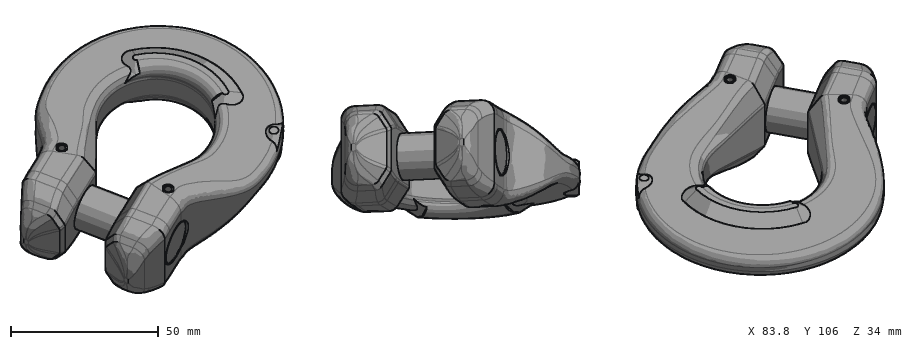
import cadquery as cq
import math

EYE_THICKNESS = 34.0
EYE_HALF_THICKNESS = EYE_THICKNESS / 2
EYE_ROUND_Y = -5.1
TIP_END_Y = -22.0
EYE_OUTER_X = 26.8
EYE_INNER_X = 7.5

TAPER_START_Y = -8.6
TAPER_ANGLE = 23.3
LOWER_CORNER_TOP_Y = -15.0
LOWER_CORNER = (8.6, -17.0)
LOWER_SIDE_ANGLE = 61.0
TIP_CENTER = (18.9, -19.0)
TIP_RADIUS = 3.2
SECTIONS_PER_STRETCH = 6

BOW_WIDTH = 83.8
CROWN_Y = 84.0
BOW_OUTER_R = BOW_WIDTH / 2
BOW_OUTER_Y = CROWN_Y - BOW_OUTER_R
BOW_INNER_R = 20.0
BOW_INNER_Y = 39.0
LEG_ANGLE = 26.0
FLANK_ANGLE = 36.0
FLANK_END_X = 29.2
BOW_STATION_ANGLES = (90, 75, 60, 45, 30, 15, 0, -13, -LEG_ANGLE)

CONE_TOP = 14.7
CONE_SLOPE = 0.24
CONE_BLUNTNESS = 10.6
SWELL_START_Y = 35.5
SWELL_END_Y = 6.8

BEVEL_START_SHARE = 0.54
BEVEL_ANGLE = 33.0
BEVEL_FOOT_R = 2.1
BEVEL_TOP_R = 3.0
OUTER_EDGE_R = 3.1
OUTER_EDGE_R_GROWTH = 0.11
FULL_ROUNDING_HEIGHT = 8.9

PAD_Z = 10.1
PAD_WALL_R = 20.2
PAD_PLATEAU_INNER_R = 24.5
PAD_PLATEAU_OUTER_R = 26.7
PAD_FOOT_R = 31.6
PAD_FOOT_Z = 6.8
PAD_HALF_ANGLE = 41.0
PAD_SECTOR_LENGTH = 47.7

LUG_X = 37.4
LUG_Y = 53.5
LUG_Z = 6.1
LUG_FLOOR_Z = 2.1
LUG_TOP_R = 1.6
LUG_RIM_INSET = 0.3
LUG_SLOPE = 1.5

PIN_D = 16.0
PIN_LENGTH = 2 * EYE_OUTER_X
PIN_CHAMFER = 0.4
EYE_CLEARING_LENGTH = 63.6
RETAINER_X = 20.0
RETAINER_Y = 7.8
RETAINER_D = 3.8
RETAINER_BORE_D = 2.5
RETAINER_LENGTH = 32.9

LEG_TAN = math.tan(math.radians(LEG_ANGLE))
FLANK = math.radians(FLANK_ANGLE)
TAPER_TAN = math.tan(math.radians(TAPER_ANGLE))
LOWER_SIDE_TAN = math.tan(math.radians(LOWER_SIDE_ANGLE))
BEVEL_TAN = math.tan(math.radians(BEVEL_ANGLE))


def circle_point(center_y, radius, degrees):
    angle = math.radians(degrees)
    return cq.Vector(radius * math.cos(angle), center_y + radius * math.sin(angle), 0)


def surface_height(point):
    """Half thickness of the bow and legs, before the edges are rounded."""
    radius = math.hypot(point.x, point.y - BOW_INNER_Y)
    cone = CONE_TOP - CONE_SLOPE * math.hypot(radius, CONE_BLUNTNESS)
    share = (SWELL_START_Y - point.y) / (SWELL_START_Y - SWELL_END_Y)
    share = min(max(share, 0), 1)
    swell = (1 - math.cos(math.pi * share)) / 2
    return cone + (EYE_HALF_THICKNESS - cone) * swell


def corner_arc(before, corner, after, radius):
    """Start, middle and end of the arc that rounds a corner."""
    to_before = (before - corner).normalized()
    to_after = (after - corner).normalized()
    half_angle = to_before.getAngle(to_after) / 2
    setback = radius / math.tan(half_angle)
    bisector = (to_before + to_after).normalized()
    middle = corner + bisector * (radius / math.sin(half_angle) - radius)
    return corner + to_before * setback, middle, corner + to_after * setback


def below(point):
    """Mirror image of a point across the XY plane."""
    return cq.Vector(point.x, point.y, -point.z)


def across(point):
    """Mirror image of a point across the YZ plane."""
    return cq.Vector(-point.x, point.y, point.z)


def section(inner, outer, height_at):
    """Closed cross section between an inner and an outer point of the outline."""
    up = cq.Vector(0, 0, 1)
    outward = (outer - inner).normalized()
    inner_height = height_at(inner)
    foot_height = BEVEL_START_SHARE * inner_height
    bevel_top = inner + outward * ((inner_height - foot_height) * BEVEL_TAN)
    outer_height = height_at(outer)
    corners = [
        inner + up * foot_height,
        bevel_top + up * height_at(bevel_top),
        outer + up * outer_height,
    ]
    size = min(1, inner_height / FULL_ROUNDING_HEIGHT)
    outer_r = OUTER_EDGE_R + OUTER_EDGE_R_GROWTH * outer_height
    radii = [size * radius for radius in (BEVEL_FOOT_R, BEVEL_TOP_R, outer_r)]
    chain = [inner, *corners, outer]
    arcs = [corner_arc(*chain[i:i + 3], radii[i]) for i in range(3)]
    arcs += [tuple(below(point) for point in reversed(arc)) for arc in reversed(arcs)]
    edges = []
    for arc, following in zip(arcs, arcs[1:] + arcs[:1]):
        edges.append(cq.Edge.makeThreePointArc(*arc))
        edges.append(cq.Edge.makeLine(arc[2], following[0]))
    return cq.Wire.assembleEdges(edges)


def bow_stations():
    """Pairs of inner and outer outline points, from the crown down to the right eye."""
    pairs = []
    for degrees in BOW_STATION_ANGLES:
        pairs.append((
            circle_point(BOW_INNER_Y, BOW_INNER_R, degrees),
            circle_point(BOW_OUTER_Y, BOW_OUTER_R, degrees),
        ))
    leg_top = pairs[-1][0]
    leg_end = cq.Vector(EYE_INNER_X, leg_top.y - (leg_top.x - EYE_INNER_X) / LEG_TAN, 0)
    flank_top = circle_point(BOW_OUTER_Y, BOW_OUTER_R, -FLANK_ANGLE)
    flank_end_y = flank_top.y - (flank_top.x - FLANK_END_X) / math.tan(FLANK)
    flank_end = cq.Vector(FLANK_END_X, flank_end_y, 0)
    blend_r = (FLANK_END_X - EYE_OUTER_X) / (1 - math.cos(FLANK))
    blend_y = flank_end_y - blend_r * math.sin(FLANK)
    blend_mid = cq.Vector(
        EYE_OUTER_X + blend_r * (1 - math.cos(FLANK / 2)),
        blend_y + blend_r * math.sin(FLANK / 2),
        0,
    )
    flank_points = [
        flank_top,
        (flank_top + flank_end) * 0.5,
        flank_end,
        blend_mid,
        cq.Vector(EYE_OUTER_X, blend_y, 0),
    ]
    for i, outer in enumerate(flank_points, start=1):
        share = i / len(flank_points)
        pairs.append((leg_top + (leg_end - leg_top) * share, outer))
    return pairs


def make_bow():
    """Bow and both legs as one loft, from the left eye around the crown to the right eye."""
    right = bow_stations()
    left = [(across(inner), across(outer)) for inner, outer in reversed(right[1:])]
    wires = [section(inner, outer, surface_height) for inner, outer in left + right]
    return cq.Solid.makeLoft(wires)


def tip_half_width(y):
    """Half width of the tip circle."""
    return math.sqrt(TIP_RADIUS ** 2 - (TIP_CENTER[1] - y) ** 2)


def eye_inner_x(y):
    """Inner side of the right eye; its slanted lower side runs tangent into the tip circle."""
    if y >= LOWER_CORNER_TOP_Y:
        return EYE_INNER_X
    if y >= LOWER_CORNER[1]:
        share = (LOWER_CORNER_TOP_Y - y) / (LOWER_CORNER_TOP_Y - LOWER_CORNER[1])
        return EYE_INNER_X + share * (LOWER_CORNER[0] - EYE_INNER_X)
    tangent_y = TIP_CENTER[1] - TIP_RADIUS * math.sin(math.radians(LOWER_SIDE_ANGLE))
    if y >= tangent_y:
        return LOWER_CORNER[0] + LOWER_SIDE_TAN * (LOWER_CORNER[1] - y)
    return TIP_CENTER[0] - tip_half_width(y)


def eye_outer_x(y):
    """Outer side of the right eye; its taper runs tangent into the tip circle."""
    tangent_y = TIP_CENTER[1] - TIP_RADIUS * math.sin(math.radians(TAPER_ANGLE))
    if y >= tangent_y:
        return EYE_OUTER_X - TAPER_TAN * max(0, TAPER_START_Y - y)
    return TIP_CENTER[0] + tip_half_width(y)


def round_end_angle(y):
    """Angle around the round end of the eyes at which it reaches y."""
    return math.asin((EYE_ROUND_Y - y) / EYE_HALF_THICKNESS)


def eye_section(angle):
    """Section of the right eye at an angle around its round end, zero where the round begins."""
    y = EYE_ROUND_Y - EYE_HALF_THICKNESS * math.sin(angle)
    half_thickness = EYE_HALF_THICKNESS * math.cos(angle)
    inner = cq.Vector(eye_inner_x(y), y, 0)
    outer = cq.Vector(eye_outer_x(y), y, 0)
    return section(inner, outer, lambda point: half_thickness)


def make_eye():
    """Right eye, from the end of the bow to the tip, lofted between the corners of its outline."""
    bow_end = section(*bow_stations()[-1], surface_height)
    eye = cq.Workplane(obj=cq.Solid.makeLoft([bow_end, eye_section(0)], True))
    corners = (EYE_ROUND_Y, TAPER_START_Y, LOWER_CORNER_TOP_Y, LOWER_CORNER[1], TIP_END_Y)
    angles = [round_end_angle(y) for y in corners]
    for start, end in zip(angles, angles[1:]):
        step = (end - start) / (SECTIONS_PER_STRETCH - 1)
        wires = [eye_section(start + i * step) for i in range(SECTIONS_PER_STRETCH)]
        eye = eye.union(cq.Workplane(obj=cq.Solid.makeLoft(wires)))
    return eye


def make_crown_pad():
    """Raised wear pad on both faces of the crown, sloping off outward and at its ends."""
    round_r = PAD_PLATEAU_INNER_R - PAD_WALL_R
    round_offset = round_r * (1 - math.sqrt(0.5))
    ring = (
        cq.Workplane("XZ")
        .moveTo(PAD_WALL_R, 0)
        .lineTo(PAD_WALL_R, PAD_Z - round_r)
        .threePointArc(
            (PAD_WALL_R + round_offset, PAD_Z - round_offset),
            (PAD_PLATEAU_INNER_R, PAD_Z),
        )
        .lineTo(PAD_PLATEAU_OUTER_R, PAD_Z)
        .lineTo(PAD_FOOT_R, PAD_FOOT_Z)
        .lineTo(PAD_FOOT_R, 0)
        .close()
        .revolve(360, (0, 0, 0), (0, 1, 0))
    )
    half_angle = math.radians(PAD_HALF_ANGLE)
    sector_x = PAD_SECTOR_LENGTH * math.sin(half_angle)
    sector_y = PAD_SECTOR_LENGTH * math.cos(half_angle)
    extent = (
        cq.Workplane("XY")
        .polyline([(0, 0), (sector_x, sector_y), (-sector_x, sector_y)])
        .close()
        .extrude(PAD_Z)
    )
    end_top_r = (PAD_PLATEAU_OUTER_R - PAD_PLATEAU_INNER_R) / 2
    end_slope = (PAD_FOOT_R - PAD_PLATEAU_OUTER_R) / (PAD_Z - PAD_FOOT_Z)
    end_center_r = PAD_PLATEAU_INNER_R + end_top_r
    for side in (-1, 1):
        center = cq.Vector(
            side * end_center_r * math.sin(half_angle),
            end_center_r * math.cos(half_angle),
            0,
        )
        end_cone = cq.Solid.makeCone(end_top_r + end_slope * PAD_Z, end_top_r, PAD_Z, pnt=center)
        extent = extent.union(cq.Workplane(obj=end_cone))
    pad = ring.intersect(extent).translate((0, BOW_INNER_Y, 0))
    return pad.union(pad.mirror("XY"))


def make_rim_lug():
    """Low conical lug on both faces of the bow, cut off just inside the rim."""
    base_r = LUG_TOP_R + LUG_SLOPE * LUG_Z
    cone = cq.Solid.makeCone(base_r, LUG_TOP_R, LUG_Z, pnt=cq.Vector(LUG_X, LUG_Y, 0))
    rim = (
        cq.Workplane("XY")
        .workplane(offset=LUG_FLOOR_Z)
        .center(0, BOW_OUTER_Y)
        .circle(BOW_OUTER_R - LUG_RIM_INSET)
        .extrude(LUG_Z)
    )
    lug = cq.Workplane(obj=cone).intersect(rim)
    return lug.union(lug.mirror("XY"))


def retainer_cylinder(side, diameter, length):
    return (
        cq.Workplane("XY")
        .center(side * RETAINER_X, RETAINER_Y)
        .circle(diameter / 2)
        .extrude(length / 2, both=True)
    )


def pin_cylinder(length):
    return cq.Workplane("YZ").circle(PIN_D / 2).extrude(length / 2, both=True)


def make_housing():
    """Bow, eyes, pad and lug as one solid, bored for the load pin and the retainers."""
    eye = make_eye()
    housing = cq.Workplane(obj=make_bow()).union(eye).union(eye.mirror("YZ"))
    housing = housing.union(make_crown_pad()).union(make_rim_lug())
    housing = housing.cut(pin_cylinder(EYE_CLEARING_LENGTH))
    for side in (-1, 1):
        housing = housing.cut(retainer_cylinder(side, RETAINER_D, EYE_CLEARING_LENGTH))
    return housing


def make_load_pin():
    """Load pin, notched where each retainer runs through its edge."""
    pin = pin_cylinder(PIN_LENGTH).edges("%CIRCLE").chamfer(PIN_CHAMFER)
    for side in (-1, 1):
        pin = pin.cut(retainer_cylinder(side, RETAINER_D, EYE_CLEARING_LENGTH))
    return pin


def make_retainer(side):
    """Hollow spring pin that locks the load pin in one eye."""
    bore = retainer_cylinder(side, RETAINER_BORE_D, RETAINER_LENGTH)
    return retainer_cylinder(side, RETAINER_D, RETAINER_LENGTH).cut(bore)


housing = make_housing()
load_pin = make_load_pin()
retainers = [make_retainer(side) for side in (-1, 1)]
result = cq.Compound.makeCompound([
    housing.val(),
    load_pin.val(),
    *[retainer.val() for retainer in retainers],
])